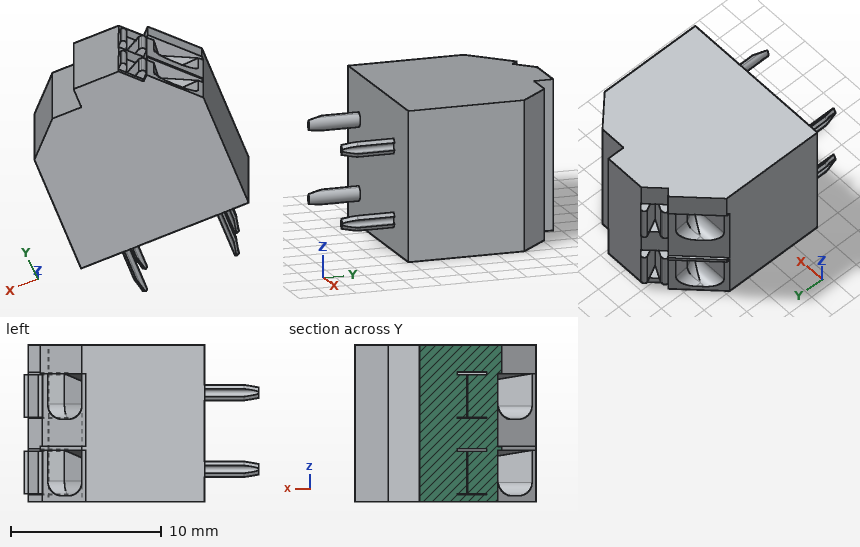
import cadquery as cq
import math


WIDTH = 12.0
HEIGHT = 10.4
BODY_DEPTH = 11.69
SIDE_DEPTH = 8.14
SLOPE_RUN = 2.75
NOTCH_RUN = 0.48
CREST = (SLOPE_RUN, SIDE_DEPTH + SLOPE_RUN)
NOTCH = (CREST[0] + NOTCH_RUN, CREST[1] - NOTCH_RUN)
STEP_X = 7.73
STEP_Y = 10.33

POLES = 2
PITCH = 5.07
POLE_TOP = 3.42
RIB = 0.25

RECESS_DROP = 0.26
ENTRY_TOP_Y = 10.4
ENTRY_BEND_Y = 9.29
ENTRY_FLOOR_Z = 0.4
ENTRY_RADIUS = 1.01
ENTRY_END_RADIUS = 0.9
UPPER_WALL_TILT = 5.0
LOWER_WALL_TILT = 29.0
ROOF_DROP = 0.5

LEVER_TIP_Y = 11.97
LEVER_BOTTOM = 0.53
LEVER_HEIGHT = 2.83
LEVER_TILT = 27.0
SLOT_BOTTOM = 0.48
SLOT_TOP = 3.52
INNER_CORNER = (4.6, 10.35)
LONG_FACE_END = (3.92, 11.69)
LONG_TIP_START = (LONG_FACE_END[0], LEVER_TIP_Y)
LONG_TIP_END = (4.25, LEVER_TIP_Y)
SHORT_ARM_SETBACK = 0.15
SLOT_MOUTH_LONG = (4.55, BODY_DEPTH)
SHORT_TIP_Y = 11.02
SHORT_TIP_START = (3.33, SHORT_TIP_Y)
SHORT_TIP_END = (2.94, SHORT_TIP_Y)
SLOT_MOUTH_SHORT = (CREST[0] + SHORT_ARM_SETBACK, CREST[1] - SHORT_ARM_SETBACK)
LEVER_ROUND = 0.25

PIN_LENGTH = 3.6
PIN_STRAIGHT = 2.58
PIN_OUTER = 0.55
PIN_INNER = 0.23
PIN_LEG = 0.12
PIN_HALF_BEND = 57.0
TIP_APEX = 0.19
PIN_MID_X = 5.6
PIN_HALF_SPACING = 3.67
PIN_Z = 2.16

OVERLAP = 0.15


def prism(points, bottom, top):
    """Straight prism over a polygon in X and Y."""
    return cq.Workplane("XY").workplane(offset=bottom).polyline(points).close().extrude(top - bottom)


def wall_shift(drop, tilt):
    """X distance a wall tilted from the Y axis covers over a drop along -Y."""
    return drop * math.tan(math.radians(tilt))


def recess_x(y):
    """X of the recessed left slope at a given Y."""
    return y - SIDE_DEPTH + RECESS_DROP


def make_housing():
    """Housing block with sloped sides, a V notch and a step along the +Y side."""
    shoulder = (NOTCH[0] + BODY_DEPTH - NOTCH[1], BODY_DEPTH)
    outline = [
        (0, 0),
        (0, SIDE_DEPTH),
        CREST,
        NOTCH,
        shoulder,
        (STEP_X, BODY_DEPTH),
        (STEP_X, STEP_Y),
        (WIDTH - (STEP_Y - SIDE_DEPTH), STEP_Y),
        (WIDTH, SIDE_DEPTH),
        (WIDTH, 0),
    ]
    return prism(outline, 0, HEIGHT)


def make_recess():
    """Slab removed from the left slope of one pole."""
    low = (-OVERLAP, SIDE_DEPTH - RECESS_DROP - OVERLAP)
    high = (CREST[0] + RECESS_DROP / 2, CREST[1] - RECESS_DROP / 2)
    outside = [(high[0], BODY_DEPTH), (-OVERLAP, BODY_DEPTH)]
    return prism([low, high] + outside, POLE_TOP - PITCH + RIB, POLE_TOP)


def make_wire_entry():
    """Bent pocket with rounded lower edges and a sloping roof at its inner end."""
    mouth_top = (recess_x(ENTRY_TOP_Y), ENTRY_TOP_Y)
    mouth_low = (recess_x(SIDE_DEPTH), SIDE_DEPTH)
    bend = (mouth_top[0] + wall_shift(ENTRY_TOP_Y - ENTRY_BEND_Y, UPPER_WALL_TILT), ENTRY_BEND_Y)
    inner_x = bend[0] + wall_shift(ENTRY_BEND_Y - SIDE_DEPTH, LOWER_WALL_TILT)
    inner = (inner_x, SIDE_DEPTH)
    outside_x = mouth_low[0] - ENTRY_RADIUS - OVERLAP
    outline = [(outside_x, SIDE_DEPTH), (outside_x, ENTRY_TOP_Y), mouth_top, bend, inner]
    pocket = prism(outline, ENTRY_FLOOR_Z, POLE_TOP)
    floor_edges = cq.selectors.BoxSelector(
        (mouth_top[0] - OVERLAP, SIDE_DEPTH + OVERLAP, ENTRY_FLOOR_Z - OVERLAP),
        (inner_x + OVERLAP, ENTRY_TOP_Y - OVERLAP, ENTRY_FLOOR_Z + OVERLAP),
    )
    pocket = pocket.edges(floor_edges).fillet(ENTRY_RADIUS)

    end_block = (
        cq.Workplane("XY")
        .box(inner_x - outside_x, ENTRY_TOP_Y - SIDE_DEPTH, POLE_TOP - ENTRY_FLOOR_Z, centered=False)
        .edges("<Y and <Z")
        .fillet(ENTRY_END_RADIUS)
        .translate((outside_x, SIDE_DEPTH, ENTRY_FLOOR_Z))
    )
    pocket = pocket.intersect(end_block)

    bend_point = cq.Vector(*bend, POLE_TOP)
    roof_edge = cq.Vector(*mouth_low, POLE_TOP) - bend_point
    roof_fall = cq.Vector(*inner, POLE_TOP - ROOF_DROP) - bend_point
    roof_plane = cq.Plane(origin=bend_point, xDir=roof_edge, normal=roof_edge.cross(roof_fall))
    above_roof = cq.Workplane(roof_plane).rect(WIDTH, WIDTH).extrude(HEIGHT)
    return pocket.cut(above_roof)


def meet(start_a, angle_a, start_b, angle_b):
    """Intersection of two lines given by a point and a direction in degrees."""
    ax, ay = math.cos(math.radians(angle_a)), math.sin(math.radians(angle_a))
    bx, by = math.cos(math.radians(angle_b)), math.sin(math.radians(angle_b))
    gap_x, gap_y = start_b[0] - start_a[0], start_b[1] - start_a[1]
    reach = (gap_x * by - gap_y * bx) / (ax * by - ay * bx)
    return (start_a[0] + reach * ax, start_a[1] + reach * ay)


def slot_corner():
    """Deepest corner of the lever slot, whose walls follow the tilt of the lever."""
    return meet(SLOT_MOUTH_LONG, -90 + LEVER_TILT, NOTCH, -LEVER_TILT)


def make_lever_slot():
    """Slot behind the notch, slightly taller than the lever."""
    outside = (SLOT_MOUTH_SHORT[0], LEVER_TIP_Y)
    outline = [SLOT_MOUTH_SHORT, NOTCH, slot_corner(), SLOT_MOUTH_LONG, outside]
    return prism(outline, SLOT_BOTTOM, SLOT_TOP)


def make_lever():
    """L-shaped lever whose two arms rest against the slot walls."""
    outline = [
        NOTCH,
        slot_corner(),
        SLOT_MOUTH_LONG,
        LONG_TIP_END,
        LONG_TIP_START,
        LONG_FACE_END,
        INNER_CORNER,
        SHORT_TIP_START,
        SHORT_TIP_END,
        SLOT_MOUTH_SHORT,
    ]
    lever = prism(outline, LEVER_BOTTOM, LEVER_BOTTOM + LEVER_HEIGHT)
    for tip in (LONG_TIP_START, SHORT_TIP_END):
        edge = cq.NearestToPointSelector((*tip, LEVER_BOTTOM + LEVER_HEIGHT / 2))
        lever = lever.edges("|Z").edges(edge).fillet(LEVER_ROUND)
    return lever


def make_pin():
    """Pin along -Y with its bend centre on the Y axis and its open side towards -X."""
    cosine = math.cos(math.radians(PIN_HALF_BEND))
    sine = math.sin(math.radians(PIN_HALF_BEND))

    def bend_end(radius):
        return (radius * cosine, radius * sine)

    def leg_end(radius):
        return (radius * cosine - PIN_LEG * sine, radius * sine + PIN_LEG * cosine)

    def below(point):
        return (point[0], -point[1])

    strip = (
        cq.Workplane("XZ", origin=(0, OVERLAP, 0))
        .moveTo(*leg_end(PIN_OUTER))
        .lineTo(*bend_end(PIN_OUTER))
        .threePointArc((PIN_OUTER, 0), below(bend_end(PIN_OUTER)))
        .lineTo(*below(leg_end(PIN_OUTER)))
        .lineTo(*below(leg_end(PIN_INNER)))
        .lineTo(*below(bend_end(PIN_INNER)))
        .threePointArc((PIN_INNER, 0), bend_end(PIN_INNER))
        .lineTo(*leg_end(PIN_INNER))
        .close()
        .extrude(PIN_LENGTH + OVERLAP)
    )

    reach = 2 * PIN_OUTER
    root_apex = -PIN_LEG / sine

    def wedge(workplane, apex):
        corner = (apex + reach, reach * sine / cosine)
        return workplane.polyline([(apex, 0), corner, below(corner)]).close()

    tip_start = wedge(cq.Workplane("XZ", origin=(0, -PIN_STRAIGHT, 0)), root_apex)
    kept_tip = wedge(tip_start.workplane(offset=PIN_LENGTH - PIN_STRAIGHT), TIP_APEX).loft(ruled=True)
    straight = strip.intersect(cq.Workplane("XY").box(WIDTH, 2 * PIN_STRAIGHT, HEIGHT))
    return straight.union(strip.intersect(kept_tip))


result = make_housing()
recess = make_recess()
entry = make_wire_entry()
slot = make_lever_slot()
lever = make_lever()
left_pin = make_pin()
right_pin = left_pin.mirror("YZ")

for pole in range(POLES):
    lift = pole * PITCH
    for cutter in (recess, entry, slot):
        result = result.cut(cutter.translate((0, 0, lift)))
    result = result.union(lever.translate((0, 0, lift)))
    result = result.union(left_pin.translate((PIN_MID_X - PIN_HALF_SPACING, 0, PIN_Z + lift)))
    result = result.union(right_pin.translate((PIN_MID_X + PIN_HALF_SPACING, 0, PIN_Z + lift)))